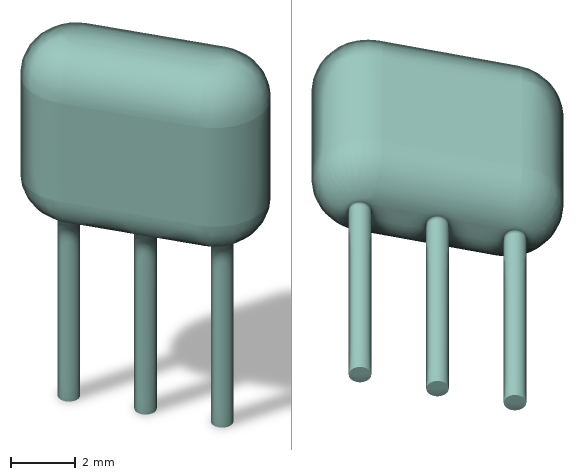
import cadquery as cq

total_height = 13.5
body_width = 8.0
body_depth = 3.5
body_height = 6.5
edge_radius = 1.4
pin_diameter = 0.7
pin_pitch = 2.5
pin_count = 3

pin_length = total_height - body_height


def make_body():
    """Rounded capsule-outline body standing on the plane Z = 0."""
    outline = cq.Workplane("XY").slot2D(body_width, body_depth)
    block = outline.extrude(body_height)
    return block.faces("<Z or >Z").edges().fillet(edge_radius)


def make_pins():
    """Row of round pins hanging below the flat underside of the body."""
    pin_top = edge_radius
    row = cq.Workplane("XY").workplane(offset=pin_top).rarray(pin_pitch, 0.14, pin_count, 1)
    return row.circle(pin_diameter / 2).extrude(-(pin_length + pin_top))


result = make_body().union(make_pins())